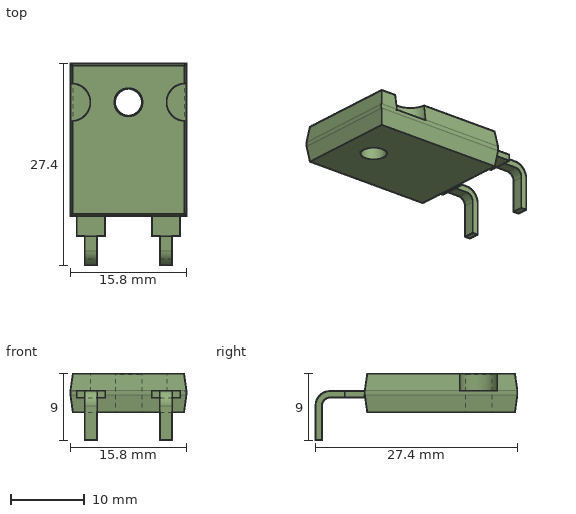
import cadquery as cq

width = 15.75
length = 20.7
overall_length = 27.38
taper = 0.33
lower_height = 2.35
band_height = 0.63
upper_height = 2.27
band_top = lower_height + band_height
height = band_top + upper_height

hole_y = 15.41
hole_diameter = 3.61
hole_chamfer = 0.1
notch_radius = 2.55
notch_inset = 0.16

metal_thickness = 0.9
metal_drop = 0.08
metal_top = band_top - metal_drop
metal_bottom = metal_top - metal_thickness
lead_pitch = 10.19
tab_width = 3.83
tab_length = 2.75
lead_width = 1.67
lead_end_y = length - overall_length
lead_bottom = -3.75
bend_outer_radius = 2.0
bend_inner_radius = bend_outer_radius - metal_thickness


def tapered_block(base_z, block_height):
    """Frustum from the band's full outline; a negative height tapers downward."""
    outline = cq.Workplane("XY").workplane(offset=base_z).rect(width, length)
    return (
        outline.workplane(offset=block_height)
        .rect(width - 2 * taper, length - 2 * taper)
        .loft(ruled=True)
        .translate((0, length / 2, 0))
    )


def cylinder(x, diameter, bottom, top):
    """Vertical cylinder on the line of the mounting hole."""
    circle = cq.Workplane("XY").workplane(offset=bottom).center(x, hole_y).circle(diameter / 2)
    return circle.extrude(top - bottom)


def make_housing():
    band = (
        cq.Workplane("XY")
        .workplane(offset=lower_height)
        .rect(width, length)
        .extrude(band_height)
        .translate((0, length / 2, 0))
    )
    body = band.union(tapered_block(lower_height, -lower_height))
    body = body.union(tapered_block(band_top, upper_height))
    body = body.cut(cylinder(0, hole_diameter, 0, height))
    hole_rim = cq.selectors.NearestToPointSelector((0, hole_y, height))
    body = body.edges("%CIRCLE").edges(hole_rim).chamfer(hole_chamfer)
    for side in (-1, 1):
        notch_x = side * (width / 2 - notch_inset)
        notch = cylinder(notch_x, 2 * notch_radius, metal_top, height)
        body = body.cut(notch)
    return body


def make_tab(x):
    return cq.Workplane("XY").box(
        tab_width, tab_length, metal_thickness, centered=(True, False, False)
    ).translate((x, -tab_length, metal_bottom))


def make_lead(x):
    """Flat strip running out from the tab and bent down through a right angle."""
    bend_y = lead_end_y + bend_outer_radius
    bend_z = metal_top - bend_outer_radius
    profile = (
        cq.Workplane("YZ")
        .moveTo(-tab_length, metal_top)
        .lineTo(bend_y, metal_top)
        .radiusArc((lead_end_y, bend_z), -bend_outer_radius)
        .lineTo(lead_end_y, lead_bottom)
        .lineTo(lead_end_y + metal_thickness, lead_bottom)
        .lineTo(lead_end_y + metal_thickness, bend_z)
        .radiusArc((bend_y, metal_bottom), bend_inner_radius)
        .lineTo(-tab_length, metal_bottom)
        .close()
    )
    return profile.extrude(lead_width / 2, both=True).translate((x, 0, 0))


housing = make_housing()
lead_positions = [-lead_pitch / 2, lead_pitch / 2]
tabs = [make_tab(x).val() for x in lead_positions]
leads = [make_lead(x).val() for x in lead_positions]

result = cq.Compound.makeCompound([housing.val(), *tabs, *leads])